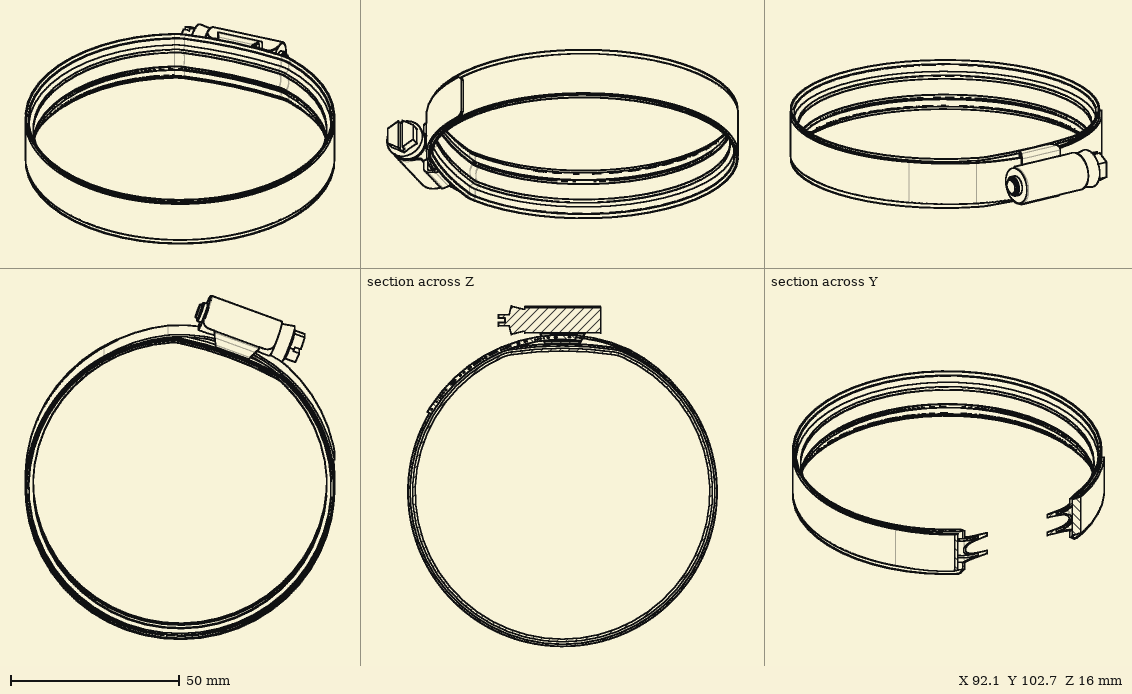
import cadquery as cq
import math


OUTER_RADIUS = 46.03
BAND_THICKNESS = 0.68
BAND_WIDTH = 12.7
LINER_WIDTH = 15.4
LINER_THICKNESS = 0.35

LAP_GAP = 0.03
BAND_INNER_RADIUS = OUTER_RADIUS - BAND_THICKNESS
TAIL_INNER_RADIUS = OUTER_RADIUS + LAP_GAP
TAIL_OUTER_RADIUS = TAIL_INNER_RADIUS + BAND_THICKNESS
BAND_START_ANGLE = 85
RAMP_START_ANGLE = 40
RAMP_END_ANGLE = 65
TAIL_END_ANGLE = 149.5
TAIL_CORNER_RADIUS = 2.0

NECK_RADIUS = BAND_INNER_RADIUS - LINER_THICKNESS
BEAD_RADIUS = 43.7
GROOVE_RADIUS = 44.9
LIP_BEND_Z = 6.65
NECK_END_Z = 4.4
BEAD_START_Z = 3.65
BEAD_END_Z = 2.5

BRIDGE_HEIGHT = 44.1
BRIDGE_HALF_ANGLE = 24
BRIDGE_CORNER_RADIUS = 12

WORM_Y = 51.05
WORM_RADIUS = 5.3
WORM_START_X = -11.3
WORM_END_X = 11.4
FLANGE_RADIUS = 5.65
FLANGE_START_X = -15.9
FLANGE_END_X = -15.3
COLLAR_SMALL_RADIUS = 4.95
HEAD_START_X = -19.05
HEAD_ACROSS_FLATS = 8.1
FLANGE_FACE_RADIUS = HEAD_ACROSS_FLATS / 2
SLOT_WIDTH = 1.3
SLOT_DEPTH = 1.9
JOURNAL_RADIUS = 2.95
JOURNAL_CHAMFER = 0.35
JOURNAL_END_X = 12.85
TIP_RADIUS = 2.1
TIP_END_X = 13.45

SHELL_RADIUS = FLANGE_RADIUS
SHELL_CORNER_RADIUS = 2.7
SHELL_END_FILLET = 0.3
LOOP_WIDTH = 16.0
LOOP_TOP_Y = 48.1
LOOP_TOP_THICKNESS = 1.1
LOOP_BASE_THICKNESS = 0.85
LOOP_SIDE_THICKNESS = 0.7
LOOP_TOP_HALF_LENGTH = 7.1
LOOP_BASE_HALF_LENGTH = 5.2
LOOP_TOP_FILLET = 1.2
LOOP_BASE_FILLET = 0.8
LOOP_INNER_FILLET = 0.4


def polar(radius, degrees):
    """Point in the XY plane at a radius and an angle from +X."""
    angle = math.radians(degrees)
    return (radius * math.cos(angle), radius * math.sin(angle))


def worm_cylinder():
    plane = cq.Workplane("YZ", origin=(WORM_START_X, WORM_Y, 0))
    return plane.circle(WORM_RADIUS).extrude(WORM_END_X - WORM_START_X)


def make_screw():
    half_section = [
        (FLANGE_START_X, 0),
        (FLANGE_START_X, FLANGE_FACE_RADIUS),
        (FLANGE_END_X, FLANGE_RADIUS),
        (WORM_START_X, COLLAR_SMALL_RADIUS),
        (WORM_START_X, WORM_RADIUS),
        (WORM_END_X, WORM_RADIUS),
        (WORM_END_X, JOURNAL_RADIUS),
        (JOURNAL_END_X - JOURNAL_CHAMFER, JOURNAL_RADIUS),
        (JOURNAL_END_X, JOURNAL_RADIUS - JOURNAL_CHAMFER),
        (JOURNAL_END_X, TIP_RADIUS),
        (TIP_END_X, TIP_RADIUS),
        (TIP_END_X, 0),
    ]
    turned = (
        cq.Workplane("XY", origin=(0, WORM_Y, 0))
        .polyline(half_section)
        .close()
        .revolve(360, (0, 0, 0), (1, 0, 0))
    )
    corner_to_corner = HEAD_ACROSS_FLATS / math.cos(math.pi / 6)
    head_plane = cq.Workplane("YZ", origin=(HEAD_START_X, WORM_Y, 0))
    head = (
        head_plane.transformed(rotate=(0, 0, 90))
        .polygon(6, corner_to_corner)
        .extrude(FLANGE_END_X - HEAD_START_X)
    )
    slot = head_plane.rect(SLOT_WIDTH, 2 * corner_to_corner).extrude(SLOT_DEPTH)
    return turned.union(head.cut(slot))


def make_band():
    """One strip: the main turn, a ramp, and an outer turn that laps over the start."""
    turn_middle = (BAND_START_ANGLE + RAMP_START_ANGLE + 360) / 2
    ramp_middle = (RAMP_START_ANGLE + RAMP_END_ANGLE) / 2
    tail_middle = (RAMP_END_ANGLE + TAIL_END_ANGLE) / 2
    ramp_rise = (TAIL_OUTER_RADIUS - OUTER_RADIUS) / 2
    strip = (
        cq.Workplane("XY", origin=(0, 0, -BAND_WIDTH / 2))
        .moveTo(*polar(OUTER_RADIUS, BAND_START_ANGLE))
        .threePointArc(polar(OUTER_RADIUS, turn_middle), polar(OUTER_RADIUS, RAMP_START_ANGLE))
        .threePointArc(
            polar(OUTER_RADIUS + ramp_rise, ramp_middle),
            polar(TAIL_OUTER_RADIUS, RAMP_END_ANGLE),
        )
        .threePointArc(
            polar(TAIL_OUTER_RADIUS, tail_middle), polar(TAIL_OUTER_RADIUS, TAIL_END_ANGLE)
        )
        .lineTo(*polar(TAIL_INNER_RADIUS, TAIL_END_ANGLE))
        .threePointArc(
            polar(TAIL_INNER_RADIUS, tail_middle), polar(TAIL_INNER_RADIUS, RAMP_END_ANGLE)
        )
        .threePointArc(
            polar(BAND_INNER_RADIUS + ramp_rise, ramp_middle),
            polar(BAND_INNER_RADIUS, RAMP_START_ANGLE),
        )
        .threePointArc(
            polar(BAND_INNER_RADIUS, turn_middle), polar(BAND_INNER_RADIUS, BAND_START_ANGLE)
        )
        .close()
        .extrude(BAND_WIDTH)
    )
    tail_direction = cq.Vector(*polar(1, TAIL_END_ANGLE), 0)
    tail_corners = cq.selectors.ParallelDirSelector(tail_direction)
    strip = strip.edges(tail_corners).fillet(TAIL_CORNER_RADIUS)
    return strip.cut(worm_cylinder())


def liner_arc(center, outer_radius, start_angle, end_angle):
    """Liner section swept anticlockwise about a Z-parallel axis; angles count from +X."""
    shift = outer_radius - OUTER_RADIUS
    neck = NECK_RADIUS + shift
    bead = BEAD_RADIUS + shift
    groove = GROOVE_RADIUS + shift
    edge_z = LINER_WIDTH / 2
    t = LINER_THICKNESS
    section = (
        cq.Workplane("XZ")
        .moveTo(outer_radius - t, edge_z)
        .lineTo(neck, LIP_BEND_Z)
        .lineTo(neck, NECK_END_Z)
        .lineTo(bead, BEAD_START_Z)
        .lineTo(bead, BEAD_END_Z)
        .threePointArc((groove, 0), (bead, -BEAD_END_Z))
        .lineTo(bead, -BEAD_START_Z)
        .lineTo(neck, -NECK_END_Z)
        .lineTo(neck, -LIP_BEND_Z)
        .lineTo(outer_radius - t, -edge_z)
        .lineTo(outer_radius, -edge_z)
        .lineTo(neck + t, -LIP_BEND_Z)
        .lineTo(neck + t, t - NECK_END_Z)
        .lineTo(bead + t, t - BEAD_START_Z)
        .lineTo(bead + t, -BEAD_END_Z)
        .threePointArc((groove + t, 0), (bead + t, BEAD_END_Z))
        .lineTo(bead + t, BEAD_START_Z - t)
        .lineTo(neck + t, NECK_END_Z - t)
        .lineTo(neck + t, LIP_BEND_Z)
        .lineTo(outer_radius, edge_z)
        .close()
    )
    arc = section.revolve(end_angle - start_angle, (0, 0, 0), (0, 1, 0))
    return arc.rotate((0, 0, 0), (0, 0, 1), start_angle).translate((center[0], center[1], 0))


def make_liner():
    """Main circle and flat bridge, joined by two corners tangent to both."""
    main_end = 90 - BRIDGE_HALF_ANGLE
    corner_x, corner_y = polar(OUTER_RADIUS - BRIDGE_CORNER_RADIUS, main_end)
    drop = corner_y - BRIDGE_HEIGHT
    bridge_radius = (BRIDGE_CORNER_RADIUS**2 - corner_x**2 - drop**2) / (
        2 * (drop + BRIDGE_CORNER_RADIUS)
    )
    bridge_center = (0, BRIDGE_HEIGHT - bridge_radius)
    bridge_end = math.degrees(math.atan2(corner_y - bridge_center[1], corner_x))
    liner = liner_arc((0, 0), OUTER_RADIUS, 180 - main_end, 360 + main_end)
    bridge = liner_arc(bridge_center, bridge_radius, bridge_end, 180 - bridge_end)
    right_corner = liner_arc((corner_x, corner_y), BRIDGE_CORNER_RADIUS, main_end, bridge_end)
    left_corner = right_corner.mirror("YZ")
    return liner.union(right_corner).union(bridge).union(left_corner)


def housing_shell():
    """Half-open barrel over the worm, with rounded lower corners."""
    length = WORM_END_X - WORM_START_X
    height = WORM_Y + SHELL_RADIUS - LOOP_TOP_Y
    barrel = (
        cq.Workplane("YZ", origin=(WORM_START_X, WORM_Y, 0))
        .circle(SHELL_RADIUS)
        .extrude(length)
        .edges("%CIRCLE")
        .fillet(SHELL_END_FILLET)
    )
    side_outline = (
        cq.Workplane("XY")
        .box(length, height, LOOP_WIDTH)
        .edges("|Z and <Y")
        .fillet(SHELL_CORNER_RADIUS)
        .translate(((WORM_START_X + WORM_END_X) / 2, LOOP_TOP_Y + height / 2, 0))
    )
    return barrel.intersect(side_outline)


def housing_loop():
    """Strap closed round the band, narrowing along X towards its base."""
    height = LOOP_TOP_Y - BRIDGE_HEIGHT
    opening_height = height - LOOP_TOP_THICKNESS - LOOP_BASE_THICKNESS
    opening_width = LOOP_WIDTH - 2 * LOOP_SIDE_THICKNESS
    opening_y = BRIDGE_HEIGHT + LOOP_BASE_THICKNESS + opening_height / 2
    block = (
        cq.Workplane("XY")
        .box(2 * LOOP_TOP_HALF_LENGTH, height, LOOP_WIDTH)
        .edges("|X and >Y")
        .fillet(LOOP_TOP_FILLET)
        .edges("|X and <Y")
        .fillet(LOOP_BASE_FILLET)
        .translate((0, BRIDGE_HEIGHT + height / 2, 0))
    )
    opening = (
        cq.Workplane("XY")
        .box(2 * LOOP_TOP_HALF_LENGTH, opening_height, opening_width)
        .edges("|X")
        .fillet(LOOP_INNER_FILLET)
        .translate((0, opening_y, 0))
    )
    taper = (
        cq.Workplane("XY", origin=(0, 0, -LOOP_WIDTH / 2))
        .polyline([
            (-LOOP_TOP_HALF_LENGTH, LOOP_TOP_Y),
            (LOOP_TOP_HALF_LENGTH, LOOP_TOP_Y),
            (LOOP_BASE_HALF_LENGTH, BRIDGE_HEIGHT),
            (-LOOP_BASE_HALF_LENGTH, BRIDGE_HEIGHT),
        ])
        .close()
        .extrude(LOOP_WIDTH)
    )
    return block.cut(opening).intersect(taper)


def make_housing():
    return housing_shell().union(housing_loop()).cut(worm_cylinder())


screw = make_screw()
band = make_band()
liner = make_liner()
housing = make_housing()

result = cq.Compound.makeCompound([screw.val(), band.val(), liner.val(), housing.val()])